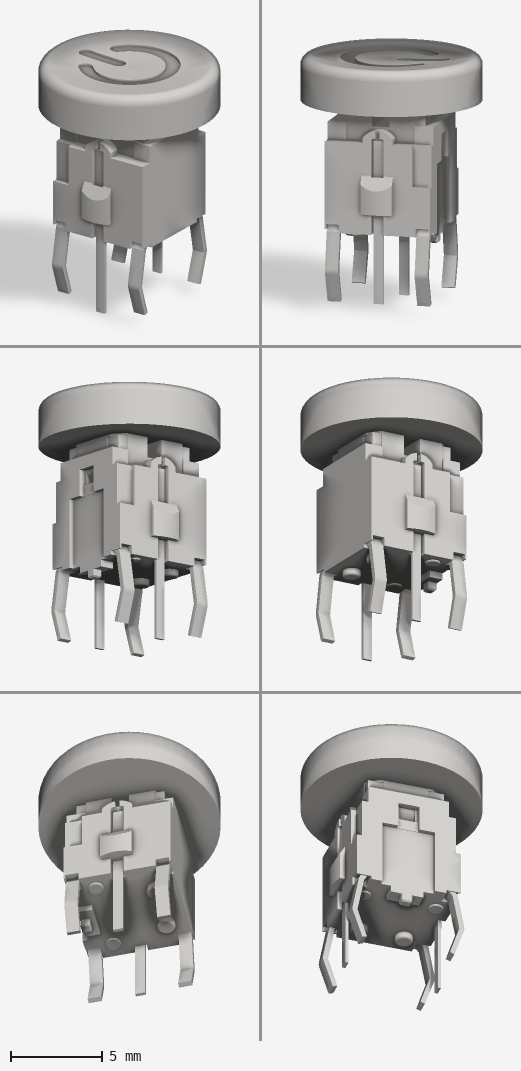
import cadquery as cq
import math


CAP_DIAMETER = 10.0
CAP_BOTTOM = 7.03
CAP_TOP = 9.53
CAP_EDGE_WIDTH = 0.56
CAP_EDGE_HEIGHT = 0.53
DISH_DEPTH = 0.22

MARK_DEPTH = 0.15
MARK_GROOVE = 0.81
MARK_RADIUS = 2.4
MARK_END_ANGLE = 141
MARK_BAR_OUTER_END = -3.3
MARK_BAR_INNER_END = -0.3

PLUNGER_X = 5.04
PLUNGER_Y = 4.46
PLUNGER_ROUND_RADIUS = 2.95
PLUNGER_BASE = 4.18
CORNER_TOP = 6.89
CORNER_START_X = 1.9
CORNER_START_Y = 1.27
CORNER_SETBACK = 0.04
PLUNGER_SLOT_WIDTH = 0.99
PLUNGER_SLOT_BOTTOM = 5.89

HOUSING = 6.0
HALF = HOUSING / 2
HOUSING_TOP = 5.08
SIDE_WALL_TOP = 6.08
SIDE_WALL_INNER_X = 1.94
SIDE_WALL_HALF_Y = 2.33
POCKET_WIDTH = 1.02
POCKET_DEPTH = 0.29
POCKET_BOTTOM = 2.78

HUMP_HALF = 0.85
HUMP_SHOULDER = 5.37
HUMP_TOP = 5.83
SLIT_WIDTH = 0.25

GROOVE_WIDTH = 0.73
GROOVE_TOP = 5.37
GROOVE_CHAMFER = 0.07
PIN_WIDTH = 0.56
PIN_THICKNESS = 0.18
PIN_INNER_Y = 2.58
PIN_TOP = 5.22
OVERALL_HEIGHT = 13.95
FRONT_PIN_BOTTOM = CAP_TOP - OVERALL_HEIGHT
BACK_PIN_BOTTOM = -3.89

WEDGE_HALF = 0.89
WEDGE_BOTTOM = 1.19
WEDGE_TOP = 3.3
WEDGE_SHOULDER = 2.54
WEDGE_CREST = 3.46
WEDGE_EDGE = 3.28
WEDGE_RELIEF = 0.04

PANEL_DEPTH = 0.29
PANEL_HALF = 1.52
PANEL_TOP = 3.88
WINDOW_DEPTH = 0.27
WINDOW_HALF = 0.61
WINDOW_TOP = 5.37
WINDOW_SILL = 4.5
WINDOW_LEDGE = 0.1
LATCH_HALF = 0.46
LATCH_LIP = 0.04
LATCH_SLOPE_TOP = 5.13
LATCH_DEPTH = 0.36
FOOT_HALF = 0.93
FOOT_INNER_X = -1.88
STANDOFF = 0.38
TAB_WIDTH = 0.64
TAB_THICKNESS = 0.55
TAB_BOTTOM = -0.82
TAB_SIDE_CHAMFER = 0.07
TAB_END_CHAMFER = 0.08

PAD_DIAMETER = 1.0
PAD_X = 1.77
PAD_Y = 1.3
PAD_FILLET = 0.13
DISC_DIAMETER = 0.85
DISC_X = -1.4
DISC_Y = 2.09
DISC_HEIGHT = 0.1
DISC_CHAMFER = 0.04

LEG_INNER_X = 2.18
LEG_WIDTH = 0.74
NOTCH_TOP = 0.47
NOTCH_INNER_Y = 2.18
NOTCH_SIDE_TOP = 0.2
LEG_BEND_RADIUS = 0.6
LEG_OUTER_ROOT = (2.55, NOTCH_TOP)
LEG_OUTER_NECK = (2.85, 0.04)
LEG_OUTER_BEND = (3.25, -2.12)
LEG_OUTER_TIP = (2.66, -3.89)
LEG_INNER_TIP = (2.4, -3.81)
LEG_INNER_BEND = (2.95, -2.12)
LEG_INNER_NECK = (2.55, -0.05)
LEG_INNER_ROOT = (NOTCH_INNER_Y, NOTCH_TOP)


def block(x0, x1, y0, y1, z0, z1):
    return cq.Workplane("XY").box(x1 - x0, y1 - y0, z1 - z0, centered=False).translate((x0, y0, z0))


def both_y(solid):
    """Add the mirror image on the other Y side."""
    return solid.union(solid.mirror("XZ"))


def all_corners(solid):
    """Repeat a solid at the four X/Y corners."""
    half = both_y(solid)
    return half.union(half.mirror("YZ"))


def cylinder(diameter, x, y, z0, z1):
    return cq.Workplane("XY", origin=(x, y, z0)).circle(diameter / 2).extrude(z1 - z0)


def make_dish_ball(drop):
    """Ball whose underside forms the dished cap top, lowered by drop."""
    rim = CAP_DIAMETER / 2 - CAP_EDGE_WIDTH
    radius = (rim ** 2 + DISH_DEPTH ** 2) / (2 * DISH_DEPTH)
    ball = cq.Workplane("XY").sphere(radius).rotate((0, 0, 0), (1, 0, 0), 90)
    return ball.translate((0, 0, CAP_TOP - DISH_DEPTH - drop + radius))


def make_mark():
    """Prism of the power mark: an open ring with round ends and a bar with round ends."""
    base = CAP_TOP - 2 * (DISH_DEPTH + MARK_DEPTH)
    outer = MARK_RADIUS + MARK_GROOVE / 2
    inner = MARK_RADIUS - MARK_GROOVE / 2
    angle = math.radians(MARK_END_ANGLE)
    cos_end = math.cos(angle)
    sin_end = math.sin(angle)
    bulge_x = MARK_RADIUS * cos_end - MARK_GROOVE / 2 * sin_end
    bulge_y = MARK_RADIUS * sin_end + MARK_GROOVE / 2 * cos_end
    ring = (
        cq.Workplane("XY", origin=(0, 0, base))
        .moveTo(outer * cos_end, outer * sin_end)
        .threePointArc((outer, 0), (outer * cos_end, -outer * sin_end))
        .threePointArc((bulge_x, -bulge_y), (inner * cos_end, -inner * sin_end))
        .threePointArc((inner, 0), (inner * cos_end, inner * sin_end))
        .threePointArc((bulge_x, bulge_y), (outer * cos_end, outer * sin_end))
        .close()
        .extrude(CAP_TOP - base)
    )
    bar = (
        cq.Workplane("XY", origin=((MARK_BAR_OUTER_END + MARK_BAR_INNER_END) / 2, 0, base))
        .slot2D(MARK_BAR_INNER_END - MARK_BAR_OUTER_END, MARK_GROOVE)
        .extrude(CAP_TOP - base)
    )
    return ring.union(bar)


def make_cap():
    radius = CAP_DIAMETER / 2
    shoulder = CAP_TOP - CAP_EDGE_HEIGHT
    diagonal = math.sqrt(0.5)
    edge_middle = (
        radius - CAP_EDGE_WIDTH * (1 - diagonal),
        shoulder + CAP_EDGE_HEIGHT * diagonal,
    )
    cap = (
        cq.Workplane("XZ")
        .moveTo(0, CAP_BOTTOM)
        .lineTo(radius, CAP_BOTTOM)
        .lineTo(radius, shoulder)
        .threePointArc(edge_middle, (radius - CAP_EDGE_WIDTH, CAP_TOP))
        .lineTo(0, CAP_TOP)
        .close()
        .revolve(360, (0, 0), (0, 1))
    )
    engraving = make_mark().intersect(make_dish_ball(MARK_DEPTH))
    return cap.cut(make_dish_ball(0)).cut(engraving)


def make_plunger():
    half_x = PLUNGER_X / 2
    half_y = PLUNGER_Y / 2
    body = block(-half_x, half_x, -half_y, half_y, PLUNGER_BASE, CAP_BOTTOM)
    corner = block(CORNER_START_X, half_x, CORNER_START_Y, half_y, PLUNGER_BASE, CAP_BOTTOM)
    round_top = cylinder(2 * PLUNGER_ROUND_RADIUS, 0, 0, CORNER_TOP, CAP_BOTTOM).intersect(body)
    corner_post = block(
        CORNER_START_X, half_x - CORNER_SETBACK, CORNER_START_Y, half_y - CORNER_SETBACK,
        PLUNGER_BASE, CORNER_TOP,
    )
    slot = block(
        -PLUNGER_SLOT_WIDTH / 2, PLUNGER_SLOT_WIDTH / 2, -half_y, half_y,
        PLUNGER_SLOT_BOTTOM, CAP_BOTTOM,
    )
    cross = body.cut(all_corners(corner))
    return cross.union(round_top).union(all_corners(corner_post)).cut(slot)


def make_hump():
    """Hump on the -Y wall."""
    return (
        cq.Workplane("XZ", origin=(0, -SIDE_WALL_HALF_Y, 0))
        .moveTo(-HUMP_HALF, PLUNGER_BASE)
        .lineTo(-HUMP_HALF, HUMP_SHOULDER)
        .threePointArc((0, HUMP_TOP), (HUMP_HALF, HUMP_SHOULDER))
        .lineTo(HUMP_HALF, PLUNGER_BASE)
        .close()
        .extrude(HALF - SIDE_WALL_HALF_Y)
    )


def make_housing():
    body = block(-HALF, HALF, -HALF, HALF, 0, HOUSING_TOP)
    for left, right in ((-HALF, -SIDE_WALL_INNER_X), (SIDE_WALL_INNER_X, HALF)):
        body = body.union(
            block(left, right, -SIDE_WALL_HALF_Y, SIDE_WALL_HALF_Y, PLUNGER_BASE, SIDE_WALL_TOP)
        )
    body = body.union(both_y(make_hump()))
    pocket = block(
        -HALF, -HALF + POCKET_WIDTH, HALF - POCKET_DEPTH, HALF, POCKET_BOTTOM, HOUSING_TOP
    )
    groove = block(-GROOVE_WIDTH / 2, GROOVE_WIDTH / 2, PIN_INNER_Y, HALF, 0, GROOVE_TOP)
    groove = groove.edges("|Y and >Z").chamfer(GROOVE_CHAMFER)
    slit = block(-SLIT_WIDTH / 2, SLIT_WIDTH / 2, PIN_INNER_Y, HALF, GROOVE_TOP, HUMP_TOP)
    leg_notch = block(
        LEG_INNER_X, LEG_INNER_X + LEG_WIDTH, NOTCH_INNER_Y, HALF, 0, NOTCH_TOP
    )
    side_notch = block(LEG_INNER_X, HALF, NOTCH_INNER_Y, HALF, 0, NOTCH_SIDE_TOP)
    return (
        body.cut(both_y(pocket))
        .cut(both_y(groove.union(slit)))
        .cut(all_corners(leg_notch.union(side_notch)))
    )


def make_panel_recess():
    """Recess of the -X wall, with the latch window above the panel."""
    panel_x = -HALF + PANEL_DEPTH
    window_x = -HALF + WINDOW_DEPTH
    ledge_x = window_x + WINDOW_LEDGE
    recess = block(-HALF, panel_x, -PANEL_HALF, PANEL_HALF, 0, PANEL_TOP)
    window = block(-HALF, window_x, -WINDOW_HALF, WINDOW_HALF, PANEL_TOP, WINDOW_TOP)
    opening = block(window_x, ledge_x, -WINDOW_HALF, WINDOW_HALF, WINDOW_SILL, WINDOW_TOP)
    latch_pocket = (
        cq.Workplane("XZ", origin=(0, LATCH_HALF, 0))
        .polyline([
            (ledge_x, WINDOW_SILL),
            (ledge_x + LATCH_DEPTH, WINDOW_SILL),
            (ledge_x + LATCH_LIP, LATCH_SLOPE_TOP),
            (ledge_x + LATCH_LIP, WINDOW_TOP),
            (ledge_x, WINDOW_TOP),
        ])
        .close()
        .extrude(2 * LATCH_HALF)
    )
    return recess.union(window).union(opening).union(latch_pocket)


def make_wedge():
    """Snap wedge with a curved crest on the -Y wall."""
    plan = (
        cq.Workplane("XY", origin=(0, 0, WEDGE_BOTTOM))
        .moveTo(-WEDGE_HALF, -PIN_INNER_Y)
        .lineTo(-WEDGE_HALF, -WEDGE_EDGE)
        .threePointArc((0, -WEDGE_CREST), (WEDGE_HALF, -WEDGE_EDGE))
        .lineTo(WEDGE_HALF, -PIN_INNER_Y)
        .close()
        .extrude(WEDGE_TOP - WEDGE_BOTTOM)
    )
    profile = (
        cq.Workplane("YZ", origin=(-WEDGE_HALF, 0, 0))
        .polyline([
            (-PIN_INNER_Y, WEDGE_BOTTOM),
            (-WEDGE_CREST, WEDGE_BOTTOM),
            (-WEDGE_CREST, WEDGE_SHOULDER),
            (-HALF, WEDGE_TOP),
            (-PIN_INNER_Y, WEDGE_TOP),
        ])
        .close()
        .extrude(2 * WEDGE_HALF)
    )
    relief = block(
        -GROOVE_WIDTH / 2, GROOVE_WIDTH / 2, -HALF - WEDGE_RELIEF, -PIN_INNER_Y,
        WEDGE_SHOULDER, WEDGE_TOP,
    )
    return plan.intersect(profile).cut(relief)


def make_pin(inner_y, outer_y, bottom):
    return block(-PIN_WIDTH / 2, PIN_WIDTH / 2, inner_y, outer_y, bottom, PIN_TOP)


def make_leg():
    """Kinked spring leg at the +X +Y corner."""
    leg = (
        cq.Workplane("YZ", origin=(LEG_INNER_X, 0, 0))
        .polyline([
            LEG_OUTER_ROOT,
            LEG_OUTER_NECK,
            LEG_OUTER_BEND,
            LEG_OUTER_TIP,
            LEG_INNER_TIP,
            LEG_INNER_BEND,
            LEG_INNER_NECK,
            LEG_INNER_ROOT,
        ])
        .close()
        .extrude(LEG_WIDTH)
    )
    bend_edge = cq.selectors.NearestToPointSelector((LEG_INNER_X + LEG_WIDTH / 2, *LEG_OUTER_BEND))
    return leg.edges("|X").edges(bend_edge).fillet(LEG_BEND_RADIUS)


def make_underside():
    """Panel foot, locating tab and round pads below the housing."""
    panel_x = -HALF + PANEL_DEPTH
    foot = block(panel_x, FOOT_INNER_X, -FOOT_HALF, FOOT_HALF, -STANDOFF, 0)
    tab = (
        block(panel_x, panel_x + TAB_THICKNESS, -TAB_WIDTH / 2, TAB_WIDTH / 2, TAB_BOTTOM, -STANDOFF)
        .edges("|Z")
        .chamfer(TAB_SIDE_CHAMFER)
        .faces("<Z")
        .chamfer(TAB_END_CHAMFER)
    )
    pad = cylinder(PAD_DIAMETER, PAD_X, PAD_Y, -STANDOFF, 0).faces("<Z").edges().fillet(PAD_FILLET)
    disc = cylinder(DISC_DIAMETER, DISC_X, DISC_Y, -DISC_HEIGHT, 0).faces("<Z").chamfer(DISC_CHAMFER)
    return foot.union(tab).union(both_y(pad)).union(both_y(disc))


result = (
    make_housing()
    .cut(make_panel_recess())
    .union(make_plunger().cut(make_panel_recess()))
    .union(make_cap())
    .union(both_y(make_wedge()))
    .union(make_pin(-PIN_INNER_Y - PIN_THICKNESS, -PIN_INNER_Y, FRONT_PIN_BOTTOM))
    .union(make_pin(PIN_INNER_Y, PIN_INNER_Y + PIN_THICKNESS, BACK_PIN_BOTTOM))
    .union(all_corners(make_leg()))
    .union(make_underside())
)